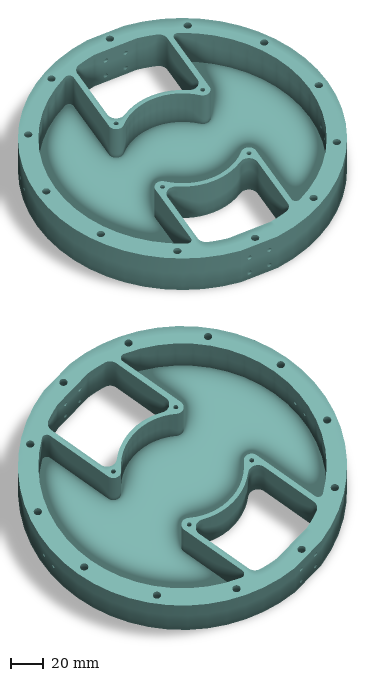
import cadquery as cq
import math

height = 28.4
outer_radius = 101.2
inner_radius = 88.7
flat_distance = 100.5
inner_flat_distance = 87.5
floor_thickness = 2.6

pocket_half_width = 35.0
window_half_width = 31.4
hub_radius = 37.9
window_arc_radius = 40.7
post_radius = 4.9
pocket_corner_radius = 3.0
window_corner_radius = 6.0

bolt_count = 12
bolt_diameter = 5.0
bolt_circle_radius = 95.0
post_hole_diameter = 3.0
flat_hole_diameter = 3.0
flat_hole_spacing = 13.8
flat_hole_levels = (5.7, 19.2)
wall_hole_diameter = 2.5
wall_hole_spacing = 10.0
wall_hole_level = 12.2
wall_hole_angle = 15.0

span = 2 * outer_radius
drill_start = 81.0
drill_length = outer_radius - drill_start + 2.0


def disc(radius):
    return cq.Workplane("XY").circle(radius).extrude(height)


def block(length, width):
    return cq.Workplane("XY").box(length, width, height, centered=(True, True, False))


def make_pocket():
    """Two circular segments joined through the round hub, above the floor."""
    walls = block(span, 2 * pocket_half_width).cut(disc(hub_radius))
    pocket = disc(inner_radius).cut(walls)
    hub_box = cq.selectors.BoxSelector(
        (-hub_radius, -hub_radius, 0), (hub_radius, hub_radius, height))
    wall_ends = cq.selectors.AndSelector(cq.selectors.ParallelDirSelector(cq.Vector(0, 0, 1)), hub_box)
    pocket = pocket.edges(wall_ends).fillet(post_radius)
    corner_y = pocket_half_width
    corner_x = math.sqrt(inner_radius**2 - corner_y**2)
    for x in (-corner_x, corner_x):
        for y in (-corner_y, corner_y):
            corner = cq.selectors.NearestToPointSelector((x, y, height / 2))
            pocket = pocket.edges(corner).fillet(pocket_corner_radius)
    return pocket.translate((0, 0, floor_thickness))


def make_windows():
    """Through openings between the ring flats and the curved walls."""
    windows = disc(inner_radius).intersect(block(2 * inner_flat_distance, 2 * window_half_width))
    windows = windows.cut(disc(window_arc_radius))
    corner_y = window_half_width
    for radius in (inner_radius, window_arc_radius):
        corner_x = math.sqrt(radius**2 - corner_y**2)
        for x in (-corner_x, corner_x):
            for y in (-corner_y, corner_y):
                corner = cq.selectors.NearestToPointSelector((x, y, height / 2))
                windows = windows.edges(corner).fillet(window_corner_radius)
    return windows


def make_vertical_holes():
    """Bolt circle in the ring and one hole in each post."""
    bolts = (
        cq.Workplane("XY")
        .polarArray(bolt_circle_radius, 0, 360, bolt_count)
        .circle(bolt_diameter / 2)
        .extrude(height)
    )
    post_y = pocket_half_width - post_radius
    post_x = math.sqrt((hub_radius + post_radius) ** 2 - post_y**2)
    posts = (
        cq.Workplane("XY")
        .rect(2 * post_x, 2 * post_y, forConstruction=True)
        .vertices()
        .circle(post_hole_diameter / 2)
        .extrude(height)
    )
    return bolts.union(posts)


def make_flat_holes():
    """Four holes through the ring at the -X flat."""
    points = [(y, z) for y in (-flat_hole_spacing / 2, flat_hole_spacing / 2) for z in flat_hole_levels]
    return (
        cq.Workplane("YZ", origin=(-drill_start, 0, 0))
        .pushPoints(points)
        .circle(flat_hole_diameter / 2)
        .extrude(-drill_length)
    )


def make_wall_holes():
    """A pair of parallel holes through the ring near the -Y side."""
    points = [(x, wall_hole_level) for x in (-wall_hole_spacing / 2, wall_hole_spacing / 2)]
    return (
        cq.Workplane("XZ", origin=(0, -drill_start, 0))
        .pushPoints(points)
        .circle(wall_hole_diameter / 2)
        .extrude(drill_length)
        .rotate((0, 0, 0), (0, 0, 1), -wall_hole_angle)
    )


result = disc(outer_radius).intersect(block(2 * flat_distance, span))
result = result.cut(make_pocket()).cut(make_windows()).cut(make_vertical_holes())
for turn in (0, 180):
    for holes in (make_flat_holes(), make_wall_holes()):
        result = result.cut(holes.rotate((0, 0, 0), (0, 0, 1), turn))